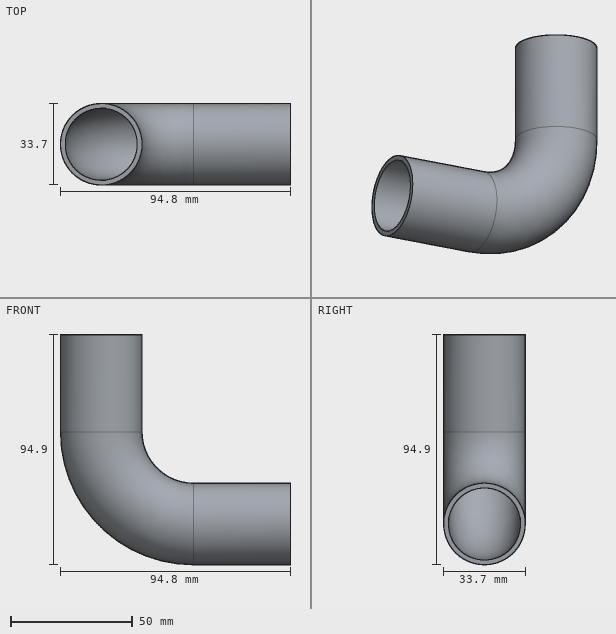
import cadquery as cq

overall_length = 94.85
outer_diameter = 33.7
wall_thickness = 2.0
straight_length = 40.0

outer_radius = outer_diameter / 2
inner_radius = outer_radius - wall_thickness
bend_radius = overall_length - straight_length - outer_radius
bend_angle = 90


def pipe_section(plane):
    """Ring-shaped cross-section of the pipe, centred on the plane origin."""
    return cq.Workplane(plane).circle(outer_radius).circle(inner_radius)


vertical_leg = pipe_section("XY").extrude(straight_length)

bend = pipe_section("XY").revolve(
    bend_angle,
    (bend_radius, 0, 0),
    (bend_radius, -1, 0),
)

horizontal_leg_plane = cq.Plane(
    origin=(bend_radius, 0, -bend_radius),
    xDir=(0, 1, 0),
    normal=(1, 0, 0),
)
horizontal_leg = pipe_section(horizontal_leg_plane).extrude(straight_length)

result = vertical_leg.union(bend).union(horizontal_leg)